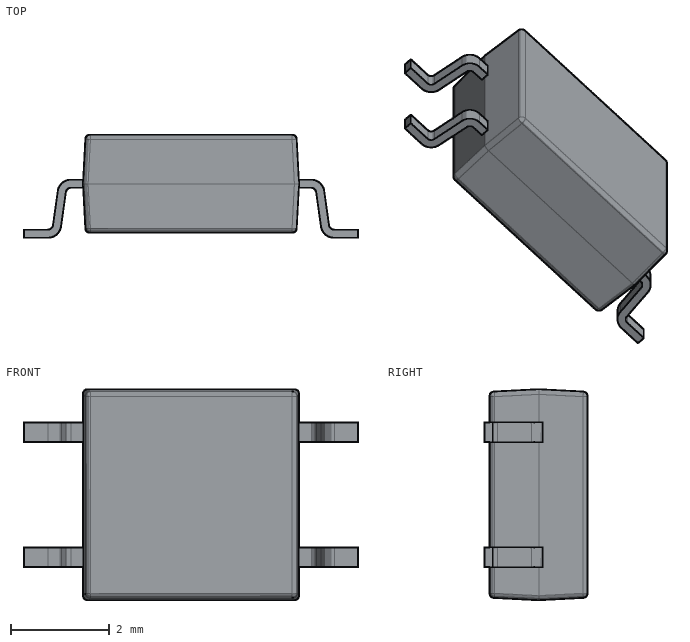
import cadquery as cq
import math

body_width = 4.4
body_height = 4.3
body_depth = 2.0
draft_angle = 3.0
edge_radius = 0.1

lead_span = 6.8
lead_thickness = 0.17
lead_width = 0.4
lead_pitch = 2.54
foot_standoff = 0.1
foot_straight_length = 0.49
leg_tilt = 8.0
inner_bend_radius = 0.1
outer_bend_radius = inner_bend_radius + lead_thickness
lead_embed = 0.205


def make_body():
    """Two drafted halves meeting at the parting plane, with rounded edges."""
    half_depth = body_depth / 2
    front_half = (
        cq.Workplane("XZ")
        .rect(body_width, body_height)
        .extrude(half_depth, taper=draft_angle)
    )
    front_half = front_half.edges("not(>Y)").fillet(edge_radius)
    return front_half.union(front_half.mirror("XZ"))


def make_left_lead():
    """One lead on the -X side, centred on Z = 0."""
    tilt = math.radians(leg_tilt)
    bend_angle = math.pi / 2 - tilt

    shelf_top = lead_thickness / 2
    shelf_bottom = -lead_thickness / 2
    foot_bottom = -body_depth / 2 - foot_standoff
    foot_top = foot_bottom + lead_thickness

    foot_tip = -lead_span / 2
    shelf_end = -body_width / 2 + lead_embed

    heel_x = foot_tip + foot_straight_length + outer_bend_radius * math.tan(bend_angle / 2)
    leg_run = lead_thickness / math.cos(tilt)

    def inboard_leg_x(y):
        return heel_x + (y - foot_bottom) * math.tan(tilt)

    def outboard_leg_x(y):
        return inboard_leg_x(y) - leg_run

    heel = (heel_x, foot_bottom)
    foot_inside = (outboard_leg_x(foot_top), foot_top)
    shelf_inside = (inboard_leg_x(shelf_bottom), shelf_bottom)
    shoulder = (outboard_leg_x(shelf_top), shelf_top)

    outline = [
        (foot_tip, foot_bottom),
        heel,
        shelf_inside,
        (shelf_end, shelf_bottom),
        (shelf_end, shelf_top),
        shoulder,
        foot_inside,
        (foot_tip, foot_top),
    ]
    lead = cq.Workplane("XY").polyline(outline).close().extrude(lead_width / 2, both=True)

    bends = [
        (heel, outer_bend_radius),
        (shoulder, outer_bend_radius),
        (foot_inside, inner_bend_radius),
        (shelf_inside, inner_bend_radius),
    ]
    for (x, y), radius in bends:
        corner = cq.selectors.NearestToPointSelector((x, y, 0))
        lead = lead.edges("|Z").edges(corner).fillet(radius)
    return lead


left_lead = make_left_lead()
right_lead = left_lead.mirror("YZ")

result = make_body()
for z in (-lead_pitch / 2, lead_pitch / 2):
    for lead in (left_lead, right_lead):
        result = result.union(lead.translate((0, 0, z)))